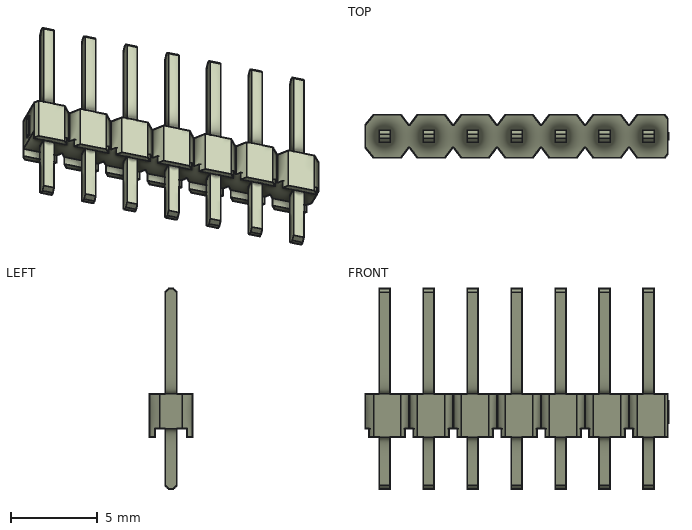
import cadquery as cq

pin_count = 7
pitch = 2.54
pin_span = pitch * (pin_count - 1)

housing_depth = 2.5
housing_height = 2.5
end_margin = 1.125
housing_length = pin_span + 2 * end_margin
left_end = -housing_length / 2
right_end = housing_length / 2

notch_depth = 0.6
notch_run = 0.45
notch_floor = 0.05

left_corner_run = 0.49

channel_width = 1.84
channel_height = 0.5

nub_length = 0.05
nub_width = 0.4
nub_height = 1.3
nub_top_gap = 0.4

pin_width = 0.64
pin_depth = 0.68
pin_below = 3.0
pin_above = 6.1
pin_length = pin_below + housing_height + pin_above
tip_chamfer = 0.22


def prism(points):
    """Extrude a plan outline over the height of the housing."""
    return cq.Workplane("XY").polyline(points).close().extrude(housing_height)


def make_notch(x, side):
    """Cutter for the notch centred on x; side is +1 for the +Y edge and -1 for the -Y edge."""
    y_edge = side * housing_depth / 2
    y_floor = y_edge - side * notch_depth
    half_floor = notch_floor / 2
    half_mouth = half_floor + notch_run
    return prism(
        [
            (x - half_mouth, y_edge),
            (x - half_floor, y_floor),
            (x + half_floor, y_floor),
            (x + half_mouth, y_edge),
        ]
    )


def make_left_corner(side):
    """Cutter for the sloping corner of the left end face."""
    y_edge = side * housing_depth / 2
    return prism(
        [
            (left_end, y_edge),
            (left_end + left_corner_run, y_edge),
            (left_end, y_edge - side * notch_depth),
        ]
    )


def make_housing():
    body = cq.Workplane("XY").box(
        housing_length, housing_depth, housing_height, centered=(True, True, False)
    )
    for side in (1, -1):
        body = body.cut(make_left_corner(side))
        for cell in range(pin_count):
            notch_x = left_end + (cell + 1) * pitch
            body = body.cut(make_notch(notch_x, side))
    channel = cq.Workplane("XY").box(
        housing_length, channel_width, channel_height, centered=(True, True, False)
    )
    return body.cut(channel)


def make_nub():
    nub_bottom = housing_height - nub_top_gap - nub_height
    return (
        cq.Workplane("XY")
        .box(nub_length, nub_width, nub_height, centered=(False, True, False))
        .translate((right_end, 0, nub_bottom))
    )


def make_pin(x):
    return (
        cq.Workplane("XY")
        .box(pin_width, pin_depth, pin_length, centered=(True, True, False))
        .edges("|X")
        .chamfer(tip_chamfer)
        .translate((x, 0, -pin_below))
    )


result = make_housing().union(make_nub())
for index in range(pin_count):
    result = result.union(make_pin(index * pitch - pin_span / 2))